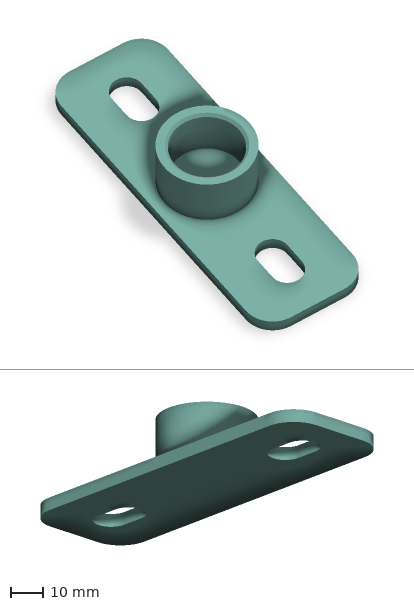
import cadquery as cq

plate_length = 120.0
plate_width = 40.0
plate_thickness = 4.2
corner_radius = 10.0

total_height = 21.0
socket_diameter = 31.8
bore_diameter = 24.1
bore_depth = 16.0
bore_chamfer = 1.0

slot_length = 19.0
slot_width = 11.0
slot_spacing = 79.0


def make_plate():
    """Flat plate with rounded corners, resting on Z = 0."""
    plate = cq.Workplane("XY").box(
        plate_length, plate_width, plate_thickness, centered=(True, True, False)
    )
    return plate.edges("|Z").fillet(corner_radius)


def make_slots():
    """Two obround cutters along X, through the plate."""
    half_spacing = slot_spacing / 2
    return (
        cq.Workplane("XY")
        .pushPoints([(-half_spacing, 0), (half_spacing, 0)])
        .slot2D(slot_length, slot_width)
        .extrude(plate_thickness)
    )


def make_socket():
    """Round boss on the plate with a chamfered blind bore from the top."""
    boss = (
        cq.Workplane("XY")
        .workplane(offset=plate_thickness)
        .circle(socket_diameter / 2)
        .extrude(total_height - plate_thickness)
    )
    bored = boss.faces(">Z").workplane().hole(bore_diameter, bore_depth)
    mouth = bored.faces(">Z").edges(cq.selectors.RadiusNthSelector(0))
    return mouth.chamfer(bore_chamfer)


result = make_plate().cut(make_slots()).union(make_socket())